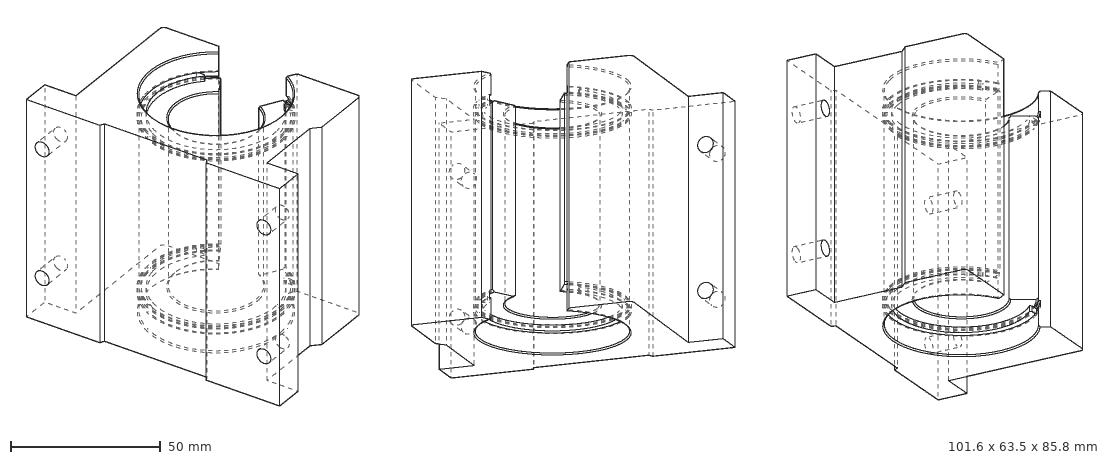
import cadquery as cq
import math

length = 85.8
base_width = 101.6
height = 63.5
flange_height = 11.2
block_half_width = 38.3
lip_overhang = 2.8
lip_bottom = 37.2
corner_radius = 1.6
lip_corner_radius = 1.2

relief_depth = 1.6
relief_half_width = 21.3
relief_taper = 0.8

bore_height = 38.1
bore_radius = 25.8
bore_chamfer = 0.5
mouth_angle = 31.7

hole_diameter = 5.6
hole_x = 44.45
hole_z = 25.4

bushing_length = 66.6
shaft_radius = 16.0
bushing_bore_chamfer = 0.5
bushing_rim_chamfer = 0.8
bushing_angle = 30.0

ring_thickness = 2.0
ring_inner_radius = 23.4
ring_outer_radius = 26.4
ring_end_chamfer = 2.2
ring_angle = 42.8


def opening_wedge(half_angle):
    """Wedge that opens from the bore axis toward +Y, through the full length."""
    reach = height
    half_span = reach * math.tan(math.radians(half_angle))
    return (
        cq.Workplane("XY")
        .moveTo(0, bore_height)
        .lineTo(half_span, bore_height + reach)
        .lineTo(-half_span, bore_height + reach)
        .close()
        .extrude(length / 2, both=True)
    )


def cylinder(radius, bottom, thickness):
    """Cylinder on the bore axis, rising from Z = bottom."""
    return (
        cq.Workplane("XY", origin=(0, bore_height, bottom))
        .circle(radius)
        .extrude(thickness)
    )


def split_ring(ring_bottom):
    """Open retaining ring lying against one end of the bushing."""
    ring = cylinder(ring_outer_radius, ring_bottom, ring_thickness)
    ring = ring.cut(cylinder(ring_inner_radius, ring_bottom, ring_thickness))
    ring = ring.cut(opening_wedge(ring_angle))
    return ring.edges("|Z").edges(">Y").chamfer(ring_end_chamfer)


def make_housing(ring_bottoms):
    lip_x = block_half_width + lip_overhang
    body = (
        cq.Workplane("XY")
        .moveTo(-base_width / 2, 0)
        .lineTo(-relief_half_width, 0)
        .lineTo(-relief_half_width + relief_taper, relief_depth)
        .lineTo(relief_half_width - relief_taper, relief_depth)
        .lineTo(relief_half_width, 0)
        .lineTo(base_width / 2, 0)
        .lineTo(base_width / 2, flange_height)
        .lineTo(block_half_width, flange_height)
        .lineTo(block_half_width, lip_bottom)
        .lineTo(lip_x, lip_bottom + lip_overhang)
        .lineTo(lip_x, height)
        .lineTo(-block_half_width, height)
        .lineTo(-block_half_width, flange_height)
        .lineTo(-base_width / 2, flange_height)
        .close()
        .extrude(length / 2, both=True)
    )
    body = body.faces(">Y").edges("|Z").edges("<X").fillet(corner_radius)
    body = body.faces(">Y").edges("|Z").edges(">X").fillet(lip_corner_radius)

    body = body.cut(opening_wedge(mouth_angle))
    body = body.cut(cylinder(bore_radius, -length / 2, length))
    end_arcs = body.faces("<Z or >Z").edges(cq.selectors.RadiusNthSelector(-1))
    body = end_arcs.chamfer(bore_chamfer)

    for ring_bottom in ring_bottoms:
        body = body.cut(cylinder(ring_outer_radius, ring_bottom, ring_thickness))

    holes = (
        cq.Workplane("XZ")
        .rect(2 * hole_x, 2 * hole_z, forConstruction=True)
        .vertices()
        .circle(hole_diameter / 2)
        .extrude(-flange_height)
    )
    return body.cut(holes)


def make_bushing():
    sleeve = cylinder(bore_radius, -bushing_length / 2, bushing_length)
    sleeve = sleeve.edges("%CIRCLE").chamfer(bushing_rim_chamfer)
    sleeve = sleeve.cut(cylinder(shaft_radius, -length / 2, length))
    bore_edges = sleeve.faces("<Z or >Z").edges(cq.selectors.RadiusNthSelector(0))
    sleeve = bore_edges.chamfer(bushing_bore_chamfer)
    return sleeve.cut(opening_wedge(bushing_angle))


ring_bottoms = (bushing_length / 2, -bushing_length / 2 - ring_thickness)
housing = make_housing(ring_bottoms)
bushing = make_bushing()
rings = [split_ring(ring_bottom) for ring_bottom in ring_bottoms]

result = cq.Compound.makeCompound([housing.val(), bushing.val(), *[ring.val() for ring in rings]])